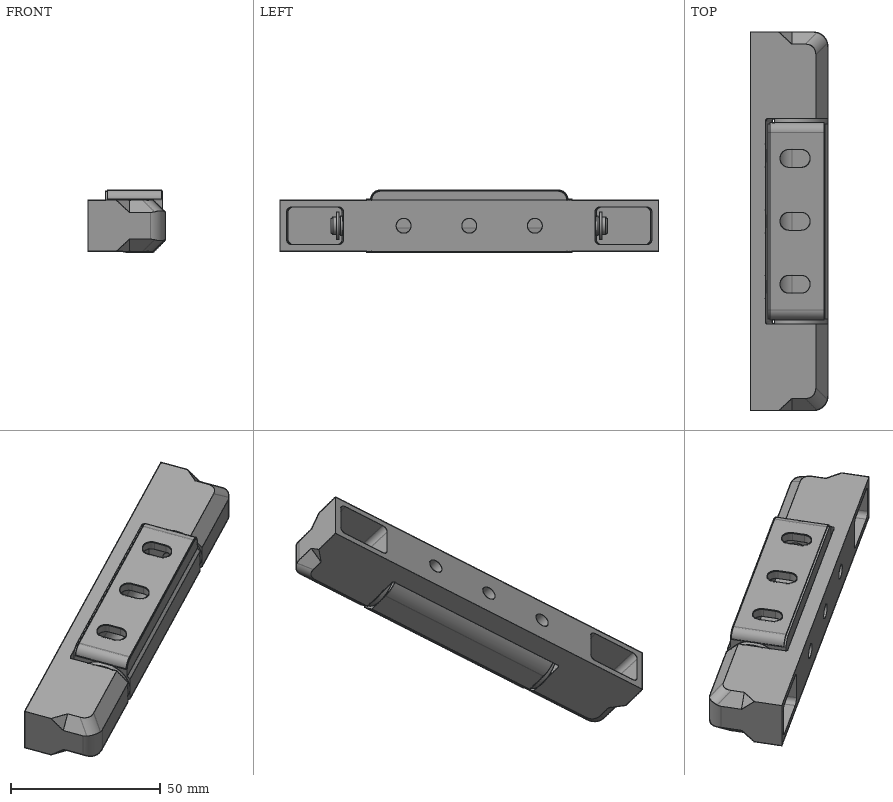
import cadquery as cq
length = 127.0
depth = 26.0
height = 17.2
edge_chamfer = 4.1
corner_radius = 5.0
bevel_excess = 4.0
runout_tip_x = 9.5
runout_base_x = 13.9

pivot_x = 17.0
pivot_z = height / 2

bay_length = 68.8
bay_back_x = 5.0
bay_arc_radius = pivot_x - bay_back_x
bay_arc_z = 7.1
bay_corner_radius = 0.7

pocket_wall_y = 2.2
pocket_wall_z = 2.25
pocket_inner_y = 42.1
pocket_depth = 22.0
pocket_radius = 1.9
pocket_taper = 0.5

hole_pitch = 22.0
hole_diameter = 5.0
counterbore_diameter = 7.7
counterbore_start_x = 4.0

rocker_length = 65.4
rocker_back_x = 5.8
rocker_front_x = 25.0
rocker_bottom_z = -0.4
rocker_lower_slope = 22.2
rocker_back_radius = 8.2
rocker_wall = 3.0
rocker_inner_front_x = 22.0
journal_radius = 9.0

pad_thickness = 0.4
pad_back_x = 6.5
pad_front_x = 24.7
pad_top_z = 20.6
pad_end_radius = 3.3
pad_bottom_z = 17.6
slot_pitch = 21.1
slot_width = 6.0
slot_back_x = 9.9
slot_front_x = 20.0

pin_diameter = 6.5
pin_tip_diameter = 6.0
pin_shoulder_y = 43.2
pin_tip_chamfer = 0.7
pin_outer_y = 46.4
ring_diameter = 9.2
ring_inner_diameter = 5.0
ring_thickness = 0.8
ring_inner_y = 43.7

ends = (-1, 1)
rows = (-1, 0, 1)
rocker_top_z = pad_top_z - pad_thickness


def bar_y(y_start, y_end, diameter):
    """Round bar on the pivot axis between two Y positions."""
    return (
        cq.Workplane("XZ", origin=(pivot_x, y_start, pivot_z))
        .circle(diameter / 2)
        .extrude(y_start - y_end)
    )


def bar_x(x_start, x_end, y, diameter):
    """Round bar along X at the pivot height."""
    return cq.Workplane("YZ", origin=(x_start, y, pivot_z)).circle(diameter / 2).extrude(x_end - x_start)


def box(x_range, y_range, z_range):
    """Box between two corners given as ranges on each axis."""
    size = [high - low for low, high in (x_range, y_range, z_range)]
    corner = (x_range[0], y_range[0], z_range[0])
    return cq.Workplane("XY").box(*size, centered=False).translate(corner)


def runout(end, top):
    """Pyramid that fades an end chamfer out to a point on the end face."""
    y_face = end * length / 2
    z_face = height if top else 0
    y_inner = y_face - end * edge_chamfer
    z_inner = z_face + (-edge_chamfer if top else edge_chamfer)
    tip = cq.Vector(runout_tip_x, y_face, z_face)
    base = [
        cq.Vector(runout_base_x, y_face, z_face),
        cq.Vector(runout_base_x, y_inner, z_face),
        cq.Vector(runout_base_x, y_face, z_inner),
    ]
    outlines = [base] + [[tip, base[i], base[(i + 1) % 3]] for i in range(3)]
    faces = [cq.Face.makeFromWires(cq.Wire.makePolygon(points, close=True)) for points in outlines]
    return cq.Solid.makeSolid(cq.Shell.makeShell(faces))


def bevelled_bar():
    """Oversized bar whose 45 degree bevels cut the housing, with the mitres between them rounded."""
    half = length / 2 + bevel_excess
    front_x = depth + bevel_excess
    bevel = edge_chamfer + bevel_excess
    bar = box((0, front_x), (-half, half), (0, height))
    bar = bar.faces("|Z").edges("not <X").chamfer(bevel)
    for end in ends:
        for z_range in ((0, bevel), (height - bevel, height)):
            near = (front_x - bevel, end * (half - bevel), z_range[0])
            far = (front_x, end * half, z_range[1])
            bar = bar.edges(cq.selectors.BoxSelector(near, far)).fillet(corner_radius)
    return bar


def housing_blank():
    """Bar with bevelled front and ends and rounded front corners."""
    half = length / 2
    outline = box((0, depth), (-half, half), (0, height)).edges("|Z and >X").fillet(corner_radius)
    back = box((0, runout_base_x), (-half, half), (0, height))
    blank = outline.intersect(bevelled_bar()).union(back)
    for end in ends:
        for top in (False, True):
            blank = blank.cut(cq.Workplane(runout(end, top)))
    return blank


def bay():
    """Bay open at the top, the underside and the front, with a round lower back wall."""
    above = height + 1
    beyond = depth + 1
    arc_bottom_z = bay_arc_z - bay_arc_radius
    shape = (
        cq.Workplane("XZ", origin=(0, bay_length / 2, 0))
        .moveTo(bay_back_x, above)
        .lineTo(bay_back_x, bay_arc_z)
        .radiusArc((pivot_x, arc_bottom_z), -bay_arc_radius)
        .lineTo(beyond, arc_bottom_z)
        .lineTo(beyond, above)
        .close()
        .extrude(bay_length)
    )
    back_wall = shape.faces("<X").edges("|Z")
    return back_wall.fillet(bay_corner_radius)


def pocket(end):
    """Rounded pocket, narrowing with depth, that gives access to one end of the pivot."""
    inner_y = end * pocket_inner_y
    outer_y = end * (length / 2 - pocket_wall_y)
    lean = end * pocket_taper
    shape = (
        cq.Workplane("XY", origin=(0, 0, pocket_wall_z))
        .moveTo(0, inner_y)
        .lineTo(pocket_depth, inner_y + lean)
        .lineTo(pocket_depth, outer_y - lean)
        .lineTo(0, outer_y)
        .close()
        .extrude(height - 2 * pocket_wall_z)
    )
    return shape.faces("<Z or >Z").edges("not |Y").fillet(pocket_radius)


def make_housing():
    body = housing_blank().cut(bay())
    for end in ends:
        body = body.cut(pocket(end))
        body = body.cut(bar_y(end * bay_length / 2, end * pin_shoulder_y, pin_diameter))
    for row in rows:
        y = row * hole_pitch
        body = body.cut(bar_x(0, bay_back_x, y, hole_diameter))
        body = body.cut(bar_x(counterbore_start_x, pivot_x, y, counterbore_diameter))
    return body


def rounded_top(x_range, y_half, top_z, bottom_z, radius):
    """Block with its two upper ends rounded."""
    block = box(x_range, (-y_half, y_half), (bottom_z, top_z))
    return block.faces(">Z").edges("|X").fillet(radius)


def slots():
    """Three slots along X through the pad and the roof of the rocker."""
    return (
        cq.Workplane("XY", origin=((slot_back_x + slot_front_x) / 2, 0, pad_top_z - 2 * rocker_wall))
        .pushPoints([(0, row * slot_pitch) for row in rows])
        .slot2D(slot_front_x - slot_back_x, slot_width)
        .extrude(3 * rocker_wall)
    )


def make_rocker():
    half = rocker_length / 2
    shoulder_z = height - edge_chamfer + depth - rocker_front_x
    outline = [
        (rocker_back_x, rocker_top_z),
        (rocker_front_x, rocker_top_z),
        (rocker_front_x, shoulder_z),
        (depth, height - edge_chamfer),
        (depth, depth - rocker_lower_slope),
        (rocker_lower_slope + rocker_bottom_z, rocker_bottom_z),
        (rocker_back_x, rocker_bottom_z),
    ]
    profile = cq.Workplane("XZ", origin=(0, half, 0)).polyline(outline).close().extrude(rocker_length)
    profile = profile.edges("|Y and <X and <Z").fillet(rocker_back_radius)
    envelope = rounded_top((0, depth), half, rocker_top_z, rocker_bottom_z, pad_end_radius - pad_thickness)
    body = profile.intersect(envelope)

    inner_half = half - rocker_wall
    hollow = box(
        (rocker_back_x + rocker_wall, rocker_inner_front_x),
        (-inner_half, inner_half),
        (rocker_bottom_z + rocker_wall, rocker_top_z - rocker_wall),
    )
    hollow = hollow.edges("|Y and <X and <Z").fillet(rocker_back_radius - rocker_wall)
    body = body.cut(hollow).cut(slots())
    for end in ends:
        body = body.union(bar_y(end * half, end * bay_length / 2, 2 * journal_radius))
        body = body.cut(bar_y(end * inner_half, end * bay_length / 2, pin_diameter))
    return body


def make_pad():
    half = rocker_length / 2
    base_z = pad_bottom_z - 1
    x_range = (pad_back_x, pad_front_x)
    outside = rounded_top(x_range, half + pad_thickness, pad_top_z, base_z, pad_end_radius)
    inside = rounded_top(x_range, half, rocker_top_z, base_z, pad_end_radius - pad_thickness)
    lower_part = box(x_range, (-length, length), (base_z, pad_bottom_z))
    return outside.cut(inside).cut(lower_part).cut(slots())


def make_ring(end):
    start_y = end * ring_inner_y
    end_y = end * (ring_inner_y + ring_thickness)
    return bar_y(start_y, end_y, ring_diameter).cut(bar_y(start_y, end_y, ring_inner_diameter))


def make_pin(end):
    inner_y = rocker_length / 2 - rocker_wall
    tip = bar_y(end * pin_shoulder_y, end * pin_outer_y, pin_tip_diameter)
    tip = tip.faces(">Y" if end > 0 else "<Y").chamfer(pin_tip_chamfer)
    pin = bar_y(end * inner_y, end * pin_shoulder_y, pin_diameter).union(tip)
    return pin.cut(make_ring(end))


housing = make_housing()
rocker = make_rocker()
pad = make_pad()
pins = [make_pin(end) for end in ends]
rings = [make_ring(end) for end in ends]

result = cq.Compound.makeCompound(
    [housing.val(), rocker.val(), pad.val()] + [part.val() for part in pins + rings]
)